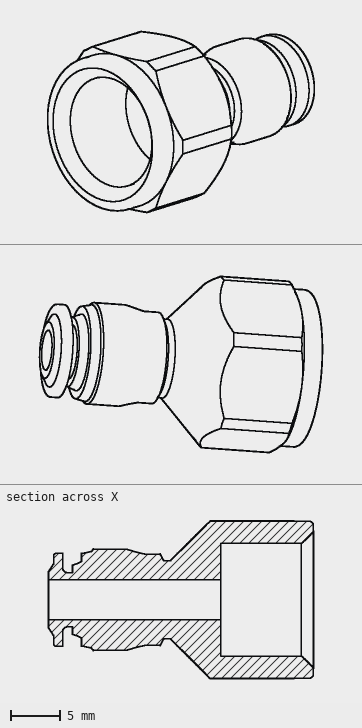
import cadquery as cq
import math

LENGTH = 26.9

HEX_HALF_ANGLE = 30.0
ACROSS_FLATS = 16.0
ACROSS_CORNERS = 17.65
HEX_CHAMFER_ANGLE = 30.0
COLLAR_LENGTH = 2.02
COLLAR_FILLET = 0.48
SHOULDER_RADIUS = 4.0
SHOULDER_END = 14.5

SOCKET_RADIUS = 5.7
SOCKET_DEPTH = 9.42
SOCKET_CHAMFER_RADIUS = 6.95
SOCKET_CHAMFER_DEPTH = SOCKET_CHAMFER_RADIUS - SOCKET_RADIUS
HOLE_RADIUS = 2.02

BODY_START = 15.2
BODY_BASE_RADIUS = 4.65
BODY_BASE_START = 15.55
BODY_BASE_END = 17.1
BODY_RADIUS = 5.16
BODY_TAPER_END = 19.02
BODY_END = 22.33
CAP_START = 22.55
CAP_START_RADIUS = 4.92
CAP_END = 23.55
CAP_END_RADIUS = 4.7
NOSE_START_RADIUS = 3.9
NOSE_END = 24.45
NOSE_END_RADIUS = 3.52

NECK_RADIUS = 2.77
NECK_END = 24.94
RIM_RADIUS = 4.73
RIM_START = 25.42
RIM_END = 26.35
RIM_ROUNDING = 0.25
BUTTON_BASE_RADIUS = 3.7
BUTTON_TIP_RADIUS = 2.85


def turned(points):
    """Revolve a closed (radius, station) outline about the Y axis."""
    return cq.Workplane("XY").polyline(points).close().revolve(360, (0, 0, 0), (0, 1, 0))


def hex_prism():
    """Hexagon with flats facing +Z and -Z, its corners trimmed by a second hexagon."""
    plane = cq.Workplane("XZ")
    corner_scale = 1 / math.cos(math.radians(HEX_HALF_ANGLE))
    flats = plane.polygon(6, ACROSS_FLATS * corner_scale).extrude(-LENGTH)
    trims = plane.polygon(6, ACROSS_CORNERS * corner_scale).extrude(-LENGTH)
    return flats.intersect(trims.rotate((0, 0, 0), (0, 1, 0), HEX_HALF_ANGLE))


def make_nut():
    collar_radius = ACROSS_FLATS / 2
    outer_radius = ACROSS_FLATS / math.sqrt(3)
    chamfer_rise = (outer_radius - collar_radius) * math.tan(math.radians(HEX_CHAMFER_ANGLE))
    envelope = turned([
        (0, COLLAR_LENGTH),
        (collar_radius, COLLAR_LENGTH),
        (outer_radius, COLLAR_LENGTH + chamfer_rise),
        (outer_radius, SHOULDER_END - (outer_radius - SHOULDER_RADIUS)),
        (SHOULDER_RADIUS, SHOULDER_END),
        (0, SHOULDER_END),
    ])
    collar = cq.Workplane("XZ").circle(collar_radius).extrude(-COLLAR_LENGTH)
    collar = collar.faces("<Y").edges().fillet(COLLAR_FILLET)
    return hex_prism().intersect(envelope).union(collar)


def make_body():
    return turned([
        (0, SHOULDER_END),
        (SHOULDER_RADIUS, SHOULDER_END),
        (SHOULDER_RADIUS, BODY_START),
        (BODY_BASE_RADIUS, BODY_BASE_START),
        (BODY_BASE_RADIUS, BODY_BASE_END),
        (BODY_RADIUS, BODY_TAPER_END),
        (BODY_RADIUS, BODY_END),
        (CAP_START_RADIUS, CAP_START),
        (CAP_END_RADIUS, CAP_END),
        (NOSE_START_RADIUS, CAP_END),
        (NOSE_END_RADIUS, NOSE_END),
        (0, NOSE_END),
    ])


def make_button():
    """Release button: a neck that flares in a quarter-round into a rounded rim."""
    flare_size = RIM_START - NECK_END
    flare_centre_radius = NECK_RADIUS + flare_size
    diagonal = flare_size * math.sqrt(0.5)
    flare_middle = (flare_centre_radius - diagonal, NECK_END + diagonal)
    outline = (
        cq.Workplane("XY")
        .moveTo(0, NOSE_END)
        .lineTo(NECK_RADIUS, NOSE_END)
        .lineTo(NECK_RADIUS, NECK_END)
        .threePointArc(flare_middle, (flare_centre_radius, RIM_START))
        .lineTo(RIM_RADIUS, RIM_START)
        .lineTo(RIM_RADIUS, RIM_END - RIM_ROUNDING)
        .radiusArc((RIM_RADIUS - RIM_ROUNDING, RIM_END), -RIM_ROUNDING)
        .lineTo(BUTTON_BASE_RADIUS, RIM_END)
        .lineTo(BUTTON_TIP_RADIUS, LENGTH)
        .lineTo(0, LENGTH)
        .close()
    )
    return outline.revolve(360, (0, 0, 0), (0, 1, 0))


def make_bore():
    """Socket with a chamfered mouth, followed by the through hole."""
    return turned([
        (0, 0),
        (SOCKET_CHAMFER_RADIUS, 0),
        (SOCKET_RADIUS, SOCKET_CHAMFER_DEPTH),
        (SOCKET_RADIUS, SOCKET_DEPTH),
        (HOLE_RADIUS, SOCKET_DEPTH),
        (HOLE_RADIUS, LENGTH),
        (0, LENGTH),
    ])


result = make_nut().union(make_body()).union(make_button()).cut(make_bore())